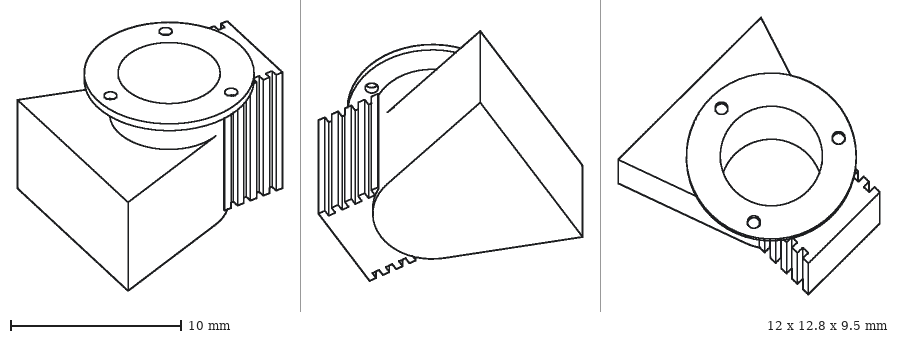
import cadquery as cq
import math

total_height = 9.5
total_depth = 12.75
block_width = 12.0
block_height = 6.5
back_y = 6.0
front_y = back_y - total_depth

tube_radius = 7.0 / 2
bore_radius = 6.0 / 2
flange_radius = 10.0 / 2
flange_thickness = 0.5
floor_thickness = flange_thickness
tube_height = total_height - flange_thickness

hole_count = 3
hole_diameter = 0.75
hole_circle_radius = 4.1
first_hole_angle = -90

rib_count = 5
rib_block_depth = 4.05
rib_thickness = rib_block_depth / (2 * rib_count - 1)
groove_depth = 0.45
rib_width = 2 * bore_radius
rib_base_z = 0.5
rib_pitch = 2 * rib_thickness
rib_block_height = tube_height - rib_base_z


def box_behind(width, depth, y_back):
    """Upright box at rib height, centred on X, ending at y_back."""
    return (
        cq.Workplane("XY", origin=(0, y_back - depth / 2, rib_base_z))
        .rect(width, depth)
        .extrude(rib_block_height)
    )


def tapered_block():
    """Front block whose slanted sides run tangent to the tube."""
    corner_x = block_width / 2
    corner_distance = math.hypot(corner_x, front_y)
    tangent_angle = math.atan2(front_y, corner_x) + math.acos(tube_radius / corner_distance)
    tangent_x = tube_radius * math.cos(tangent_angle)
    tangent_y = tube_radius * math.sin(tangent_angle)
    return (
        cq.Workplane("XY")
        .moveTo(-corner_x, front_y)
        .lineTo(corner_x, front_y)
        .lineTo(tangent_x, tangent_y)
        .lineTo(-tangent_x, tangent_y)
        .close()
        .extrude(block_height)
    )


def ribbed_block():
    """Narrow core with evenly spaced upright ribs across it."""
    block = box_behind(rib_width - 2 * groove_depth, rib_block_depth, back_y)
    for index in range(rib_count):
        block = block.union(box_behind(rib_width, rib_thickness, back_y - index * rib_pitch))
    return block


tube = cq.Workplane("XY").circle(tube_radius).extrude(tube_height)

flange = (
    cq.Workplane("XY", origin=(0, 0, tube_height))
    .circle(flange_radius)
    .extrude(flange_thickness)
)
flange_holes = (
    cq.Workplane("XY", origin=(0, 0, tube_height))
    .polarArray(hole_circle_radius, first_hole_angle, 360, hole_count)
    .circle(hole_diameter / 2)
    .extrude(flange_thickness)
)

bore = (
    cq.Workplane("XY", origin=(0, 0, floor_thickness))
    .circle(bore_radius)
    .extrude(total_height - floor_thickness)
)

result = (
    tube.union(tapered_block())
    .union(ribbed_block())
    .union(flange.cut(flange_holes))
    .cut(bore)
)